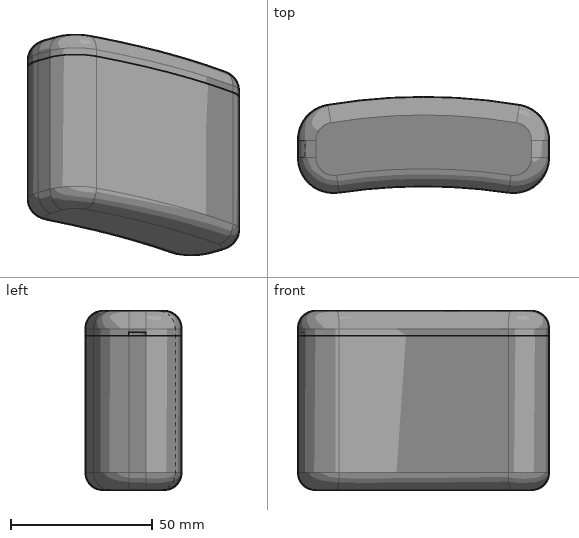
import cadquery as cq
import math


length = 88.9
height = 63.5
thickness = 31.75

face_radius = 203.2
corner_radius = 12.7

edge_radius = 6.35
straight_lid_wall = 2.54
lid_height = edge_radius + straight_lid_wall
base_height = height - lid_height

notch_height = 1.27
notch_depth = 2.54
notch_corner_radius = 1.27

end_x = length / 2
corner_x = end_x - corner_radius
front_center_y = -face_radius
back_center_y = thickness - face_radius

front_reach = face_radius + corner_radius
back_reach = face_radius - corner_radius
front_corner_y = front_center_y + math.sqrt(front_reach**2 - corner_x**2)
back_corner_y = back_center_y + math.sqrt(back_reach**2 - corner_x**2)
end_flat = back_corner_y - front_corner_y
front_angle = math.asin(corner_x / front_reach)
back_angle = math.asin(corner_x / back_reach)

front_tangent_x = face_radius * math.sin(front_angle)
front_tangent_y = front_center_y + face_radius * math.cos(front_angle)
back_tangent_x = face_radius * math.sin(back_angle)
back_tangent_y = back_center_y + face_radius * math.cos(back_angle)


def corner_middle(center_y, start_angle, end_angle):
    """Point halfway along a +X corner arc between two polar angles."""
    angle = (start_angle + end_angle) / 2
    return (corner_x + corner_radius * math.cos(angle), center_y + corner_radius * math.sin(angle))


def mirrored(point):
    """The same point on the -X side."""
    return (-point[0], point[1])


def curved_block(bottom_z, block_height):
    """Vertical block with the curved plan outline."""
    front_end = (front_tangent_x, front_tangent_y)
    back_end = (back_tangent_x, back_tangent_y)
    flat_front = (end_x, front_corner_y)
    flat_back = (end_x, back_corner_y)
    front_middle = corner_middle(front_corner_y, -math.pi / 2 - front_angle, 0)
    back_middle = corner_middle(back_corner_y, 0, math.pi / 2 - back_angle)
    return (
        cq.Workplane("XY", origin=(0, 0, bottom_z))
        .moveTo(*mirrored(front_end))
        .threePointArc((0, 0), front_end)
        .threePointArc(front_middle, flat_front)
        .lineTo(*flat_back)
        .threePointArc(back_middle, back_end)
        .threePointArc((0, thickness), mirrored(back_end))
        .threePointArc(mirrored(back_middle), mirrored(flat_back))
        .lineTo(*mirrored(flat_front))
        .threePointArc(mirrored(front_middle), mirrored(front_end))
        .close()
        .extrude(block_height)
    )


def finger_notch():
    """Cutter for the notch: as wide as the flat end, with its two inner corners rounded."""
    return (
        cq.Workplane("XY", origin=(-end_x, (front_corner_y + back_corner_y) / 2, base_height))
        .box(notch_depth, end_flat, notch_height, centered=(False, True, False))
        .edges("|Z and >X")
        .fillet(notch_corner_radius)
    )


base = curved_block(0, base_height).faces("<Z").edges().fillet(edge_radius)

lid = curved_block(base_height, lid_height).faces(">Z").edges().fillet(edge_radius)
lid = lid.cut(finger_notch())

result = cq.Compound.makeCompound([base.val(), lid.val()])